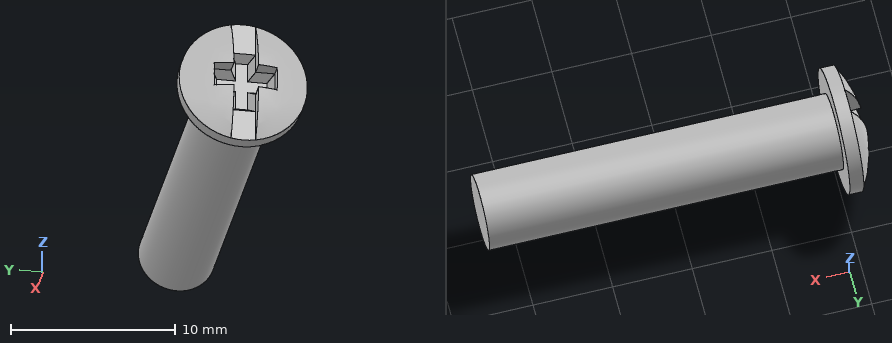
import cadquery as cq
import math

shank_diameter = 4.7625
shank_length = 22.225

head_diameter = 7.9375
rim_thickness = 0.875
visible_head_height = 1.905

slot_width = 1.52
cross_span = 3.89
recess_inset = 0.39
recess_depth = 0.6

head_radius = head_diameter / 2
rim_x = -rim_thickness


def dome_sphere_radius():
    """Sphere through the rim circle and the corners where slot and cross meet."""
    corner_offset = math.hypot(slot_width / 2, slot_width / 2)
    corner_rise = visible_head_height - rim_thickness
    centre_depth = (head_radius**2 - corner_offset**2 - corner_rise**2) / (2 * corner_rise)
    return math.hypot(head_radius, centre_depth)


sphere_radius = dome_sphere_radius()
dome_height = sphere_radius - math.sqrt(sphere_radius**2 - head_radius**2)
crown_x = rim_x - dome_height


def make_body():
    """Domed head and plain shank, revolved about the X axis."""
    return (
        cq.Workplane("XY")
        .moveTo(crown_x, 0)
        .radiusArc((rim_x, head_radius), sphere_radius)
        .lineTo(0, head_radius)
        .lineTo(0, shank_diameter / 2)
        .lineTo(shank_length, shank_diameter / 2)
        .lineTo(shank_length, 0)
        .close()
        .revolve(360, (0, 0, 0), (1, 0, 0))
    )


def box_through_dome(y_size, z_size):
    """Straight-walled cutter from the crown down to the dome base."""
    return (
        cq.Workplane("YZ", origin=(crown_x, 0, 0))
        .rect(y_size, z_size)
        .extrude(dome_height)
    )


def tapered_arm(y_size, z_size):
    """One bar of the cross recess, narrowing from the slot floor downward."""
    return (
        cq.Workplane("YZ", origin=(rim_x, 0, 0))
        .rect(y_size, z_size)
        .workplane(offset=recess_depth)
        .rect(y_size - 2 * recess_inset, z_size - 2 * recess_inset)
        .loft(ruled=True)
    )


def make_drive_recess():
    """Full-length vertical slot combined with a tapered cross recess."""
    slot = box_through_dome(slot_width, head_diameter)
    side_arms = box_through_dome(cross_span, slot_width)
    tapered_cross = tapered_arm(cross_span, slot_width).union(tapered_arm(slot_width, cross_span))
    return slot.union(side_arms).union(tapered_cross)


result = make_body().cut(make_drive_recess())